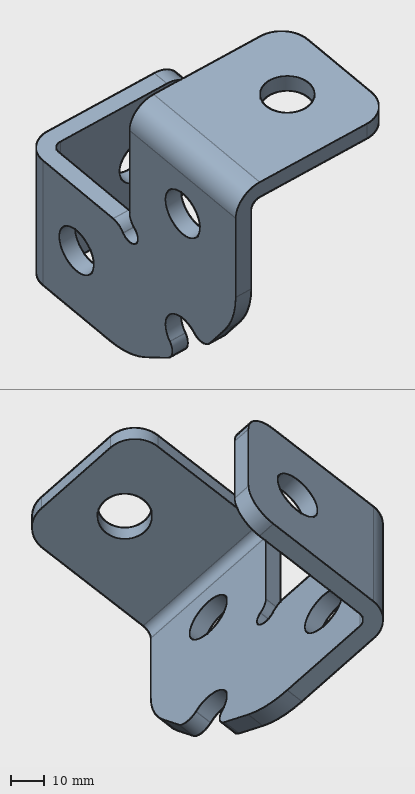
import cadquery as cq
import math

size = 100.0
arm_width = size / 2
depth = 60.0
thickness = 6.0
bend_outer_radius = 9.2
bend_inner_radius = bend_outer_radius - thickness
flange_corner_radius = 10.0

hole_diameter = 16.2
hole_inset = arm_width / 2
flange_hole_depth = 40.0

relief_radius = 3.9
relief_blend_radius = 6.0
taper_angle = 34.3
shoulder_radius = 30.0
lobe_radius = 5.0
selection_margin = 0.1


def bent_flange():
    """Side flange along Y with its bend, width along Z, holed and rounded at the free end."""
    strip = cq.Workplane("XY").rect(size, depth, centered=False).extrude(arm_width)
    strip = strip.edges("|Z and <X and <Y").fillet(bend_outer_radius)
    hollow = (
        cq.Workplane("XY")
        .box(size, depth, arm_width, centered=False)
        .translate((thickness, thickness, 0))
        .edges("|Z and <X and <Y")
        .fillet(bend_inner_radius)
    )
    strip = strip.cut(hollow)
    strip = strip.edges("|X and >Y").fillet(flange_corner_radius)
    flange_hole = (
        cq.Workplane("YZ")
        .center(flange_hole_depth, hole_inset)
        .circle(hole_diameter / 2)
        .extrude(thickness)
    )
    bend_region = cq.Workplane("XY").box(bend_outer_radius, depth, arm_width, centered=False)
    return strip.cut(flange_hole).intersect(bend_region)


def swap_arms(body):
    """Mirror a body across the web's diagonal, mapping (X, Z) to (size - Z, size - X)."""
    return body.mirror("XY").rotate((0, 0, 0), (0, 1, 0), 90).translate((size, 0, size))


def web_cylinder(x, z, radius):
    """Cylinder through the web, with its axis along Y."""
    return cq.Workplane("XZ").center(x, z).circle(radius).extrude(-thickness)


def edges_near(body, x, z, reach):
    """Select Y-parallel edges within reach of a point on the web."""
    span = reach + selection_margin
    box = cq.selectors.BoxSelector(
        (x - span, -selection_margin, z - span),
        (x + span, thickness + selection_margin, z + span),
    )
    return body.edges("|Y").edges(box)


def web():
    """L-shaped plate with a tapered outer corner, corner relief and holes."""
    taper = math.radians(taper_angle)
    taper_offset = arm_width * math.sin(taper) / (math.sin(taper) + math.cos(taper))
    outline = [
        (bend_outer_radius, 0),
        (arm_width, 0),
        (size - taper_offset, taper_offset),
        (size, arm_width),
        (size, size - bend_outer_radius),
        (arm_width, size - bend_outer_radius),
        (arm_width, arm_width),
        (bend_outer_radius, arm_width),
    ]
    plate = cq.Workplane("XZ").polyline(outline).close().extrude(-thickness)
    for x, z in [(arm_width, 0), (size, arm_width)]:
        plate = edges_near(plate, x, z, 0).fillet(shoulder_radius)

    plate = plate.cut(web_cylinder(arm_width, arm_width, relief_radius))
    plate = edges_near(plate, arm_width, arm_width, relief_radius).fillet(relief_blend_radius)

    hole_radius = hole_diameter / 2
    corner_x = size - hole_inset
    plate = plate.cut(web_cylinder(corner_x, hole_inset, hole_radius))
    plate = edges_near(plate, corner_x, hole_inset, hole_radius).fillet(lobe_radius)

    for x, z in [(hole_inset, hole_inset), (corner_x, size - hole_inset)]:
        plate = plate.cut(web_cylinder(x, z, hole_radius))
    return plate


side_flange = bent_flange()
top_flange = swap_arms(side_flange)
result = web().union(side_flange).union(top_flange)